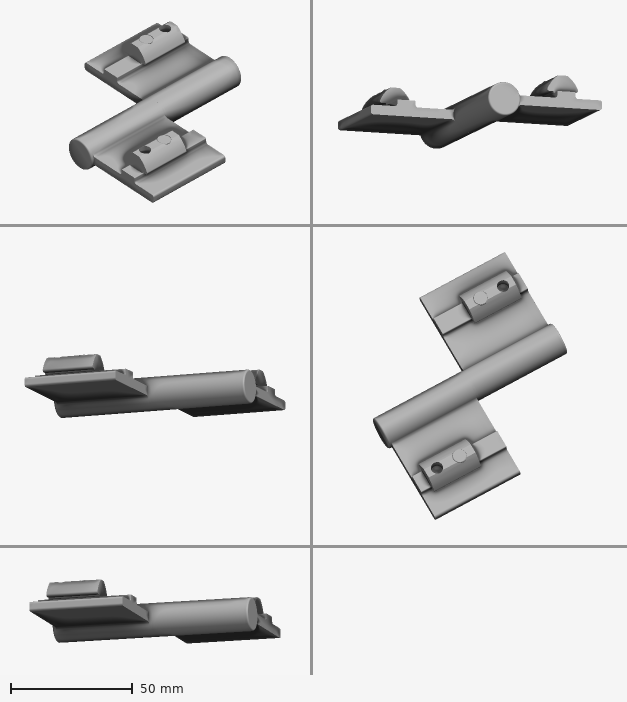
import cadquery as cq
import math


barrel_radius = 7.0
barrel_length = 40.0
washer_thickness = 1.0
cap_thickness = 1.5
cap_edge_radius = 0.7
barrel_start = washer_thickness / 2
barrel_end = barrel_start + barrel_length

leaf_reach = 43.0
leaf_thickness = 4.0
leaf_top = leaf_thickness / 2
edge_radius = 1.0
barrel_fillet_radius = 1.5
rib_x = -27.5
rib_width = 8.0
rib_top = 4.8
rib_edge_radius = 0.4

nut_length = 22.0
nut_y = 25.0
nut_top = 12.2
nut_flat_width = 4.0
nut_flank_radius = 14.0
head_bottom = 5.5
head_width = 14.2
head_edge_radius = 0.8
neck_edge_radius = 0.3

screw_radius = 3.0
screw_chamfer = 0.3
screw_y = 20.4
hole_radius = 2.5
hole_depth = 5.0
hole_y = 31.0
drill_tip_angle = 118.0


def cylinder_along_y(radius, y_start, length):
    """Solid cylinder on the pivot axis, from y_start towards +Y."""
    return cq.Workplane("XZ", origin=(0, y_start, 0)).circle(radius).extrude(-length)


def edges_along_y(x, z):
    """Selector for the lengthwise edges that pass close to the point (x, z)."""
    near = 0.1
    return cq.selectors.BoxSelector((x - near, 0, z - near), (x + near, barrel_end, z + near))


def make_leaf():
    """Barrel, plate and rib in one piece."""
    plate = (
        cq.Workplane("XY")
        .box(leaf_reach, barrel_length, leaf_thickness, centered=False)
        .translate((-leaf_reach, barrel_start, -leaf_top))
    )
    rib = (
        cq.Workplane("XY")
        .box(rib_width, barrel_length, rib_top, centered=(True, False, False))
        .translate((rib_x, barrel_start, 0))
    )
    leaf = cylinder_along_y(barrel_radius, barrel_start, barrel_length).union(plate).union(rib)

    barrel_joint_x = -math.sqrt(barrel_radius**2 - leaf_top**2)
    for z in (-leaf_top, leaf_top):
        leaf = leaf.edges(edges_along_y(-leaf_reach, z)).fillet(edge_radius)
        leaf = leaf.edges(edges_along_y(barrel_joint_x, z)).fillet(barrel_fillet_radius)
    for side_x in (rib_x - rib_width / 2, rib_x + rib_width / 2):
        leaf = leaf.edges(edges_along_y(side_x, leaf_top)).fillet(edge_radius)
        leaf = leaf.edges(edges_along_y(side_x, rib_top)).fillet(rib_edge_radius)
    return leaf


def make_nut():
    """Clamp nut on the rib, with the screw bore and the blind hole."""
    half_flat = nut_flat_width / 2
    half_head = head_width / 2
    head = (
        cq.Workplane("XZ")
        .moveTo(-half_flat, nut_top)
        .lineTo(half_flat, nut_top)
        .radiusArc((half_head, head_bottom), nut_flank_radius)
        .lineTo(-half_head, head_bottom)
        .radiusArc((-half_flat, nut_top), nut_flank_radius)
        .close()
        .extrude(nut_length / 2, both=True)
    )
    head = head.edges("|Y").edges("<X or >X").fillet(head_edge_radius)
    neck = (
        cq.Workplane("XY", origin=(0, 0, rib_top))
        .rect(rib_width, nut_length)
        .extrude(head_bottom - rib_top)
        .faces("<Z")
        .edges("|Y")
        .fillet(neck_edge_radius)
    )
    nut = head.union(neck).translate((rib_x, nut_y, 0))

    screw_bore = (
        cq.Workplane("XY", origin=(rib_x, screw_y, rib_top))
        .circle(screw_radius)
        .extrude(nut_top - rib_top)
    )
    return nut.cut(screw_bore).cut(make_drill())


def make_drill():
    """Blind hole volume: a cylinder ending in a conical drill tip."""
    tip_length = hole_radius / math.tan(math.radians(drill_tip_angle / 2))
    return (
        cq.Workplane("XZ")
        .lineTo(hole_radius, 0)
        .lineTo(hole_radius, -hole_depth)
        .lineTo(0, -hole_depth - tip_length)
        .close()
        .revolve(360, (0, 0), (0, 1))
        .translate((rib_x, hole_y, nut_top))
    )


def make_screw():
    """Set screw through the nut, bearing on the rib and flush with the nut top."""
    return (
        cq.Workplane("XY", origin=(rib_x, screw_y, rib_top))
        .circle(screw_radius)
        .extrude(nut_top - rib_top)
        .faces(">Z")
        .chamfer(screw_chamfer)
    )


def make_cap():
    """Disc that closes the outer end of a barrel."""
    cap = cylinder_along_y(barrel_radius, barrel_end, cap_thickness)
    return cap.faces(">Y").edges().fillet(cap_edge_radius)


washer = cylinder_along_y(barrel_radius, -washer_thickness / 2, washer_thickness)

bodies = [washer.val()]
for make_body in (make_leaf, make_nut, make_screw, make_cap):
    body = make_body()
    for turn in (0, 180):
        bodies.append(body.rotate((0, 0, 0), (0, 0, 1), turn).val())

result = cq.Compound.makeCompound(bodies)